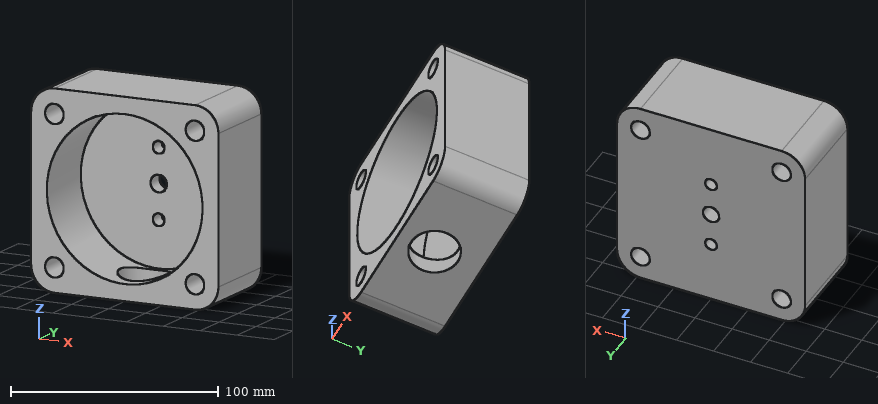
import cadquery as cq

side = 101.6
depth = 45.7
corner_radius = 12.7

pocket_diameter = 84.4
floor_thickness = 9.8
pocket_depth = depth - floor_thickness

mount_hole_diameter = 10.1
mount_hole_offset = side / 2 - corner_radius
center_hole_diameter = 8.7
floor_hole_diameter = 6.3
floor_hole_offset = 18.0

side_hole_diameter = 25.4
side_hole_setback = 20.3

open_face_y = -depth / 2


def cylinder_along_y(diameter, length, x=0.0, z=0.0):
    """Cylinder running from the open face toward +Y."""
    start = cq.Vector(x, open_face_y, z)
    return cq.Workplane(cq.Solid.makeCylinder(diameter / 2, length, start, cq.Vector(0, 1, 0)))


body = cq.Workplane("XY").box(side, depth, side).edges("|Y").fillet(corner_radius)

body = body.cut(cylinder_along_y(pocket_diameter, pocket_depth))

for x in (-mount_hole_offset, mount_hole_offset):
    for z in (-mount_hole_offset, mount_hole_offset):
        body = body.cut(cylinder_along_y(mount_hole_diameter, depth, x, z))

body = body.cut(cylinder_along_y(center_hole_diameter, depth))
for z in (-floor_hole_offset, floor_hole_offset):
    body = body.cut(cylinder_along_y(floor_hole_diameter, depth, z=z))

side_hole_start = cq.Vector(0, open_face_y + side_hole_setback, -side / 2)
side_hole = cq.Solid.makeCylinder(side_hole_diameter / 2, side / 2, side_hole_start)
result = body.cut(cq.Workplane(side_hole))